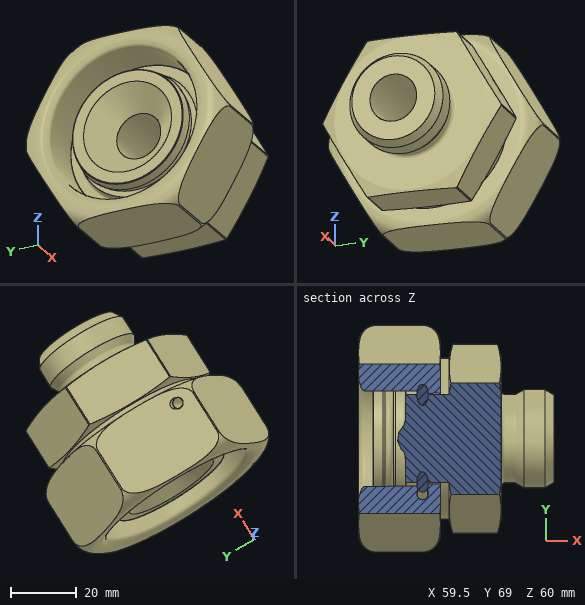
import cadquery as cq
import math


nut_across_flats = 60.0
nut_corner_diameter = 69.0
nut_length = 25.0
nut_edge_radius = 5.5
nut_bore_diameter = 50.0
nut_rear_bore_diameter = 49.25
nut_mouth_diameter = 54.2
nut_mouth_angle = 60.0
nut_mouth_round = 2.0
nut_bore_round = 1.5

collar_diameter = 48.95
collar_start = 14.3
collar_chamfer = 0.15

wire_diameter = 3.35
ring_x = 19.5
ring_radius = (nut_rear_bore_diameter + collar_diameter) / 4
wire_hole_entry_diameter = 3.54
wire_hole_entry_depth = 1.1
wire_hole_lean = 30.0

hex_across_flats = 50.0
hex_corner_diameter = 57.5
hex_start = 27.5
hex_end = 43.5
hex_chamfer_angle = 15.0

nose_start = 4.4
nose_angle = 12.0
nose_tip_diameter = 37.3
nose_cone_diameter = 37.8
nose_tip_chamfer = 0.2
nose_fillet = 0.9
seal_groove_start = 7.5
seal_groove_end = 11.3

seal_section_diameter = 2.5
seal_radius = 17.85
seal_x = (seal_groove_start + seal_groove_end) / 2
seal_groove_diameter = 2 * seal_radius - seal_section_diameter

bore_diameter = 15.0
flare_diameter = 30.0
flare_angle = 45.0

total_length = 59.5
spigot_diameter = 30.0
spigot_start = 50.35
spigot_chamfer_start = 56.65
spigot_angle = 30.0
neck_diameter = 26.9
neck_fillet = 1.2
neck_end_round = 0.8

smallest_circle = cq.selectors.RadiusNthSelector(0)
largest_circle = cq.selectors.RadiusNthSelector(-1)


def tangent(degrees):
    return math.tan(math.radians(degrees))


def profile_from(x):
    """Starts a half profile on the axis."""
    return cq.Workplane("XY").moveTo(x, 0)


def revolve(profile):
    return profile.close().revolve(360, (0, 0, 0), (1, 0, 0))


def circles_at(x):
    """Selects the round edges centred on the axis at x."""
    near = 0.05
    return cq.selectors.BoxSelector((x - near, -near, -near), (x + near, near, near))


def hex_prism(across_flats, start, end):
    corner_diameter = across_flats / math.cos(math.radians(30))
    return cq.Workplane("YZ", origin=(start, 0, 0)).polygon(6, corner_diameter).extrude(end - start)


def make_ring(x, radius, section_diameter):
    torus = cq.Solid.makeTorus(radius, section_diameter / 2, cq.Vector(x, 0, 0), cq.Vector(1, 0, 0))
    return cq.Workplane(torus)


def make_wire_hole():
    """Stepped hole from the top flat down to the point where it is tangent to the ring."""
    lean_sin = math.sin(math.radians(wire_hole_lean))
    lean_cos = math.cos(math.radians(wire_hole_lean))
    top = nut_across_flats / 2
    entry_y = (top * lean_sin - ring_radius) / lean_cos
    entry = cq.Vector(ring_x, entry_y, top)
    inward = cq.Vector(0, -lean_sin, -lean_cos)
    depth_to_ring = -entry.dot(inward)
    clearance = wire_hole_entry_diameter
    above = entry - inward * clearance
    wide = cq.Solid.makeCylinder(
        wire_hole_entry_diameter / 2, clearance + wire_hole_entry_depth, above, inward
    )
    narrow = cq.Solid.makeCylinder(wire_diameter / 2, clearance + depth_to_ring, above, inward)
    return cq.Workplane(wide.fuse(narrow))


def make_nut(ring):
    corner = nut_corner_diameter / 2
    face = corner - nut_edge_radius
    arc_reach = nut_edge_radius * math.sin(math.radians(45))
    front_arc_end = nut_edge_radius
    rear_arc_start = nut_length - nut_edge_radius
    turned = revolve(
        profile_from(0)
        .lineTo(0, face)
        .threePointArc((front_arc_end - arc_reach, face + arc_reach), (front_arc_end, corner))
        .lineTo(rear_arc_start, corner)
        .threePointArc((rear_arc_start + arc_reach, face + arc_reach), (nut_length, face))
        .lineTo(nut_length, 0)
    )
    bore = nut_bore_diameter / 2
    rear_bore = nut_rear_bore_diameter / 2
    mouth = nut_mouth_diameter / 2
    mouth_depth = (mouth - bore) / tangent(nut_mouth_angle)
    hollow = revolve(
        profile_from(0)
        .lineTo(0, mouth)
        .lineTo(mouth_depth, bore)
        .lineTo(ring_x, bore)
        .lineTo(ring_x, rear_bore)
        .lineTo(nut_length, rear_bore)
        .lineTo(nut_length, 0)
    )
    nut = hex_prism(nut_across_flats, 0, nut_length).intersect(turned).cut(hollow)
    nut = nut.edges(circles_at(mouth_depth)).fillet(nut_bore_round)
    nut = nut.faces("<X").edges(smallest_circle).fillet(nut_mouth_round)
    return nut.cut(ring).cut(make_wire_hole())


def make_nose_and_collar():
    collar = collar_diameter / 2
    cone = nose_cone_diameter / 2
    cone_start = nose_start + nose_tip_chamfer
    cone_end = cone + (collar_start - cone_start) * tangent(nose_angle)
    nose = revolve(
        profile_from(nose_start)
        .lineTo(nose_start, nose_tip_diameter / 2)
        .lineTo(cone_start, cone)
        .lineTo(collar_start, cone_end)
        .lineTo(collar_start, collar)
        .lineTo(hex_end, collar)
        .lineTo(hex_end, 0)
    )
    nose = nose.edges(circles_at(collar_start)).edges(largest_circle).chamfer(collar_chamfer)
    nose = nose.edges(circles_at(collar_start)).edges(smallest_circle).fillet(nose_fillet)
    groove = (
        cq.Workplane("YZ", origin=(seal_groove_start, 0, 0))
        .circle(collar)
        .circle(seal_groove_diameter / 2)
        .extrude(seal_groove_end - seal_groove_start)
    )
    return nose.cut(groove)


def make_hexagon():
    """Hexagon with both ends chamfered down to the collar diameter."""
    corner = hex_corner_diameter / 2
    face = collar_diameter / 2
    chamfer = (corner - face) * tangent(hex_chamfer_angle)
    turned = revolve(
        profile_from(hex_start)
        .lineTo(hex_start, face)
        .lineTo(hex_start + chamfer, corner)
        .lineTo(hex_end - chamfer, corner)
        .lineTo(hex_end, face)
        .lineTo(hex_end, 0)
    )
    return hex_prism(hex_across_flats, hex_start, hex_end).intersect(turned)


def make_spigot():
    neck = neck_diameter / 2
    spigot = spigot_diameter / 2
    slope = tangent(spigot_angle)
    neck_end = spigot_start - (spigot - neck) / slope
    tip = spigot - (total_length - spigot_chamfer_start) * slope
    turned = revolve(
        profile_from(hex_end)
        .lineTo(hex_end, neck)
        .lineTo(neck_end, neck)
        .lineTo(spigot_start, spigot)
        .lineTo(spigot_chamfer_start, spigot)
        .lineTo(total_length, tip)
        .lineTo(total_length, 0)
    )
    return turned.edges(circles_at(neck_end)).fillet(neck_end_round)


def make_passage():
    bore = bore_diameter / 2
    flare = flare_diameter / 2
    flare_depth = (flare - bore) / tangent(flare_angle)
    return revolve(
        profile_from(nose_start)
        .lineTo(nose_start, flare)
        .lineTo(nose_start + flare_depth, bore)
        .lineTo(total_length, bore)
        .lineTo(total_length, 0)
    )


def make_body(ring):
    body = make_nose_and_collar().union(make_hexagon()).union(make_spigot())
    body = body.edges(circles_at(hex_end)).edges(smallest_circle).fillet(neck_fillet)
    return body.cut(make_passage()).cut(ring)


wire_ring = make_ring(ring_x, ring_radius, wire_diameter)
seal_ring = make_ring(seal_x, seal_radius, seal_section_diameter)
union_nut = make_nut(wire_ring)
screw_in_body = make_body(wire_ring)
result = cq.Compound.makeCompound([
    union_nut.val(),
    screw_in_body.val(),
    wire_ring.val(),
    seal_ring.val(),
])